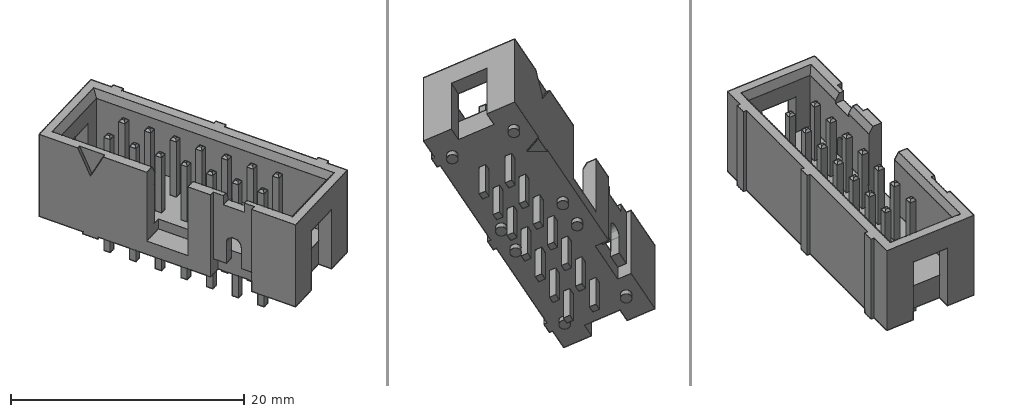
import cadquery as cq

length = 25.4
width = 8.9
height = 8.9
floor_top = 2.51
wall = 1.3
lead_in_depth = 0.69
rim_end = 0.8
rim_side = 0.9

pitch = 2.55
pins_per_row = 7
row_offset = pitch / 2
pin_side = 0.64
pin_bottom = -3.75
pin_shoulder = 8.48
pin_top = 8.7
pin_tip_side = 0.25

key_width = 4.06
key_depth = 1.98
key_bottom = 1.45

panel_x = 6.32
panel_width = key_width
panel_depth = 0.45
notch_width = 2.08
notch_depth = 1.0
arch_width = 1.47
arch_top = 4.67
undercut_top = 1.68

end_opening_width = 3.45
end_opening_top = 6.43

pin_1_x = -pitch * (pins_per_row - 1) / 2
mark_width = 2.5
mark_height = 2.55
mark_depth = 0.3
foot_width = 1.55
foot_length = 1.52
foot_height = 0.23

rib_width = 1.02
rib_depth = 0.3
outer_x = 10.15
peg_diameter = 1.0
peg_height = 0.55
peg_inner_x = 1.3
peg_y = 3.0

front_y = -width / 2
back_y = width / 2


def block(x_center, x_size, y_min, y_max, z_min, z_max):
    """Box centred on x_center, given by its limits along Y and Z."""
    return (
        cq.Workplane("XY", origin=(x_center, (y_min + y_max) / 2, z_min))
        .box(x_size, y_max - y_min, z_max - z_min, centered=(True, True, False))
    )


def cavity():
    """Open box inside the walls, with a tapered lead-in around its rim."""
    inner_length = length - 2 * wall
    inner_width = width - 2 * wall
    taper_start = height - lead_in_depth
    straight = block(0, inner_length, -inner_width / 2, inner_width / 2, floor_top, height)
    lead_in = (
        cq.Workplane("XY", origin=(0, 0, taper_start))
        .rect(inner_length, inner_width)
        .workplane(offset=lead_in_depth)
        .rect(length - 2 * rim_end, width - 2 * rim_side)
        .loft(ruled=True)
    )
    return straight.union(lead_in)


def arched_window():
    """Round-topped slot through the front wall, standing on the undercut."""
    radius = arch_width / 2
    spring_z = arch_top - radius
    return (
        cq.Workplane("XZ", origin=(panel_x, front_y, 0))
        .moveTo(-radius, 0)
        .lineTo(-radius, spring_z)
        .threePointArc((0, arch_top), (radius, spring_z))
        .lineTo(radius, 0)
        .close()
        .extrude(-wall)
    )


def front_panel_cuts():
    """Everything removed at the relieved panel."""
    inner_y = front_y + wall
    relief = block(panel_x, panel_width, front_y, front_y + panel_depth, 0, height)
    notch = block(panel_x, notch_width, front_y, inner_y, height - notch_depth, height)
    undercut = block(panel_x, panel_width, front_y, inner_y, 0, undercut_top)
    return relief.union(notch).union(undercut).union(arched_window())


def end_opening(side):
    """Opening through one end wall; side is -1 or 1."""
    x_center = side * (length - wall) / 2
    return block(x_center, wall, -end_opening_width / 2, end_opening_width / 2, 0, end_opening_top)


def pin_1_mark():
    """Triangle engraved at the top of the front wall, pointing down."""
    return (
        cq.Workplane("XZ", origin=(pin_1_x, front_y, height))
        .polyline([(-mark_width / 2, 0), (mark_width / 2, 0), (0, -mark_height)])
        .close()
        .extrude(-mark_depth)
    )


def pin_1_foot():
    """Triangular pad under the front edge, pointing inwards."""
    return (
        cq.Workplane("XY", origin=(pin_1_x, front_y, 0))
        .polyline([(-foot_width / 2, 0), (foot_width / 2, 0), (0, foot_length)])
        .close()
        .extrude(-foot_height)
    )


def pin(x, y):
    """Square contact pin with a pyramid tip."""
    shaft = block(x, pin_side, y - pin_side / 2, y + pin_side / 2, pin_bottom, pin_shoulder)
    tip = (
        cq.Workplane("XY", origin=(x, y, pin_shoulder))
        .rect(pin_side, pin_side)
        .workplane(offset=pin_top - pin_shoulder)
        .rect(pin_tip_side, pin_tip_side)
        .loft(ruled=True)
    )
    return shaft.union(tip)


housing = block(0, length, front_y, back_y, 0, height)
housing = housing.cut(cavity())
housing = housing.cut(block(0, key_width, front_y, front_y + key_depth, key_bottom, height))
housing = housing.cut(front_panel_cuts())
housing = housing.cut(end_opening(-1)).cut(end_opening(1))
housing = housing.cut(pin_1_mark())
housing = housing.union(pin_1_foot())

for rib_x in (-outer_x, 0, outer_x):
    housing = housing.union(block(rib_x, rib_width, back_y, back_y + rib_depth, 0, height))

peg_points = [
    (x, y)
    for x in (-outer_x, -peg_inner_x, peg_inner_x, outer_x)
    for y in (-peg_y, peg_y)
]
pegs = cq.Workplane("XY").pushPoints(peg_points).circle(peg_diameter / 2).extrude(-peg_height)
housing = housing.union(pegs)

for index in range(pins_per_row):
    for row_y in (-row_offset, row_offset):
        housing = housing.union(pin(pin_1_x + index * pitch, row_y))

result = housing